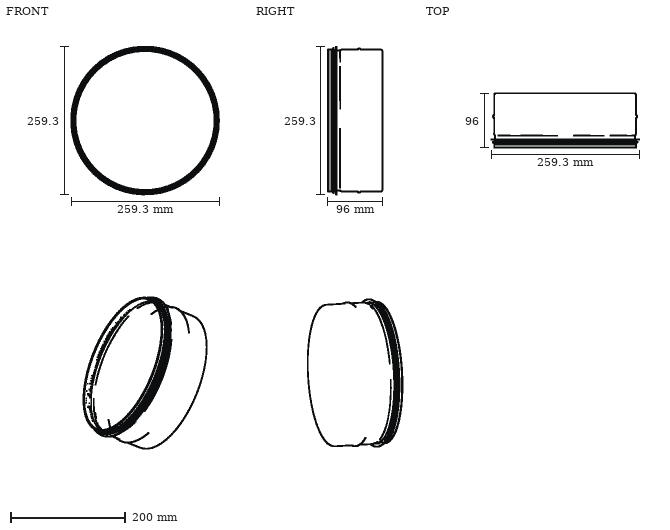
import cadquery as cq
import math

depth = 96.0
sheet = 0.5
wall_radius = 248.9 / 2
mouth_y = -depth / 2
closed_y = depth / 2
corner_radius = 3.3

bead_y = closed_y - 41.0
bead_crest_radius = 2.8
bead_root_radius = 1.9
bead_angle = math.radians(55)

step_start_y = closed_y - 71.2
step_end_y = closed_y - 74.4
step_bend_radius = 1.5
seat_step_radius = 246.3 / 2
seat_radius = 244.1 / 2
seat_taper_end_y = closed_y - 86.8

hem_fold_radius = (wall_radius - seat_radius + sheet) / 2
hem_fold_y = mouth_y + hem_fold_radius
hem_centre_radius = wall_radius - hem_fold_radius
hem_edge_y = closed_y - 90.0

gasket_start_y = closed_y - 80.4
gasket_end_y = hem_fold_y
seat_taper = (seat_step_radius - seat_radius) / (step_end_y - seat_taper_end_y)
gasket_start_radius = seat_radius + seat_taper * (gasket_start_y - seat_taper_end_y)
gasket_radius = wall_radius - sheet
main_lip_radius = 259.3 / 2
main_lip_thickness = 1.6
main_lip_chamfer = 0.7
main_lip_chamfer_height = 0.3
main_lip_foot = 0.8
second_lip_radius = 254.3 / 2
second_lip_y = closed_y - 85.2
second_lip_thickness = 0.8
third_lip_radius = 251.3 / 2
third_lip_y = closed_y - 87.4
third_lip_end_y = closed_y - 88.5


def revolve_about_y(profile):
    """Close an (X, Y) profile and turn it a full turn about the Y axis."""
    return profile.close().revolve(360, (0, 0, 0), (0, 1, 0))


def cup(inset):
    """Solid bounded by the wall moved inwards by inset, from the closed end to the seat."""
    wall = wall_radius - inset
    end_y = closed_y - inset
    corner = corner_radius - inset
    corner_mid = corner * (1 - math.sqrt(0.5))
    crest = bead_crest_radius - inset
    root = bead_root_radius + inset
    bead_half_width = (crest + root) * math.sin(bead_angle)
    bead_height = (crest + root) * (1 - math.cos(bead_angle))
    tangent_offset = crest * math.sin(bead_angle)
    tangent_radius = wall + root * (1 - math.cos(bead_angle))
    root_mid_offset = bead_half_width - root * math.sin(bead_angle / 2)
    root_mid_radius = wall + root * (1 - math.cos(bead_angle / 2))
    seat_step = seat_step_radius - inset
    seat = seat_radius - inset
    profile = (
        cq.Workplane("XY")
        .moveTo(0, end_y)
        .lineTo(wall - corner, end_y)
        .threePointArc((wall - corner_mid, end_y - corner_mid), (wall, end_y - corner))
        .lineTo(wall, bead_y + bead_half_width)
        .threePointArc((root_mid_radius, bead_y + root_mid_offset), (tangent_radius, bead_y + tangent_offset))
        .threePointArc((wall + bead_height, bead_y), (tangent_radius, bead_y - tangent_offset))
        .threePointArc((root_mid_radius, bead_y - root_mid_offset), (wall, bead_y - bead_half_width))
        .lineTo(wall, step_start_y)
        .lineTo(seat_step, step_end_y)
        .lineTo(seat, seat_taper_end_y)
        .lineTo(seat, hem_fold_y)
        .lineTo(0, hem_fold_y)
    )
    return revolve_about_y(profile)


def ring_at(radius, y):
    """Selector for the circular edge of a given radius and place along Y."""
    margin = 0.05
    return cq.selectors.BoxSelector(
        (-radius - margin, y - margin, -radius - margin),
        (radius + margin, y + margin, radius + margin),
        boundingbox=True,
    )


def bent_cup(inset, wall_bend, seat_bend):
    """Cup with the step's bends at the wall and at the seat rounded."""
    return (
        cup(inset)
        .edges(ring_at(wall_radius - inset, step_start_y))
        .fillet(wall_bend)
        .edges(ring_at(seat_step_radius - inset, step_end_y))
        .fillet(seat_bend)
    )


def hem():
    """Rounded fold at the mouth and the flange lying over the gasket."""
    outer = hem_fold_radius
    inner = hem_fold_radius - sheet
    profile = (
        cq.Workplane("XY")
        .moveTo(hem_centre_radius - outer, hem_fold_y)
        .threePointArc((hem_centre_radius, mouth_y), (wall_radius, hem_fold_y))
        .lineTo(wall_radius, hem_edge_y)
        .lineTo(wall_radius - sheet, hem_edge_y)
        .lineTo(wall_radius - sheet, hem_fold_y)
        .threePointArc((hem_centre_radius, hem_fold_y - inner), (hem_centre_radius - inner, hem_fold_y))
    )
    return revolve_about_y(profile)


def make_cap():
    """One sheet-metal body: hollow cup plus the hem at its mouth."""
    outside = bent_cup(0, step_bend_radius, step_bend_radius - sheet)
    inside = bent_cup(sheet, step_bend_radius - sheet, step_bend_radius)
    return outside.cut(inside).union(hem())


def make_gasket():
    """Rubber ring on the seat, tucked under the hem, with its three lips."""
    main_lip_end_y = gasket_start_y - main_lip_thickness
    second_lip_end_y = second_lip_y - second_lip_thickness
    profile = (
        cq.Workplane("XY")
        .moveTo(gasket_start_radius, gasket_start_y)
        .lineTo(main_lip_radius, gasket_start_y)
        .lineTo(main_lip_radius, main_lip_end_y + main_lip_chamfer)
        .lineTo(main_lip_radius - main_lip_chamfer_height, main_lip_end_y)
        .lineTo(gasket_radius + main_lip_foot, main_lip_end_y)
        .lineTo(gasket_radius, main_lip_end_y - main_lip_foot)
        .lineTo(gasket_radius, second_lip_y)
        .lineTo(second_lip_radius, second_lip_y)
        .lineTo(second_lip_radius, second_lip_end_y)
        .lineTo(gasket_radius, second_lip_end_y)
        .lineTo(gasket_radius, third_lip_y)
        .lineTo(third_lip_radius, third_lip_y)
        .lineTo(gasket_radius, third_lip_end_y)
        .lineTo(gasket_radius, gasket_end_y)
        .lineTo(seat_radius, gasket_end_y)
        .lineTo(seat_radius, seat_taper_end_y)
    )
    return revolve_about_y(profile)


cap = make_cap()
gasket = make_gasket()

result = cq.Compound.makeCompound([cap.solids().val(), gasket.solids().val()])